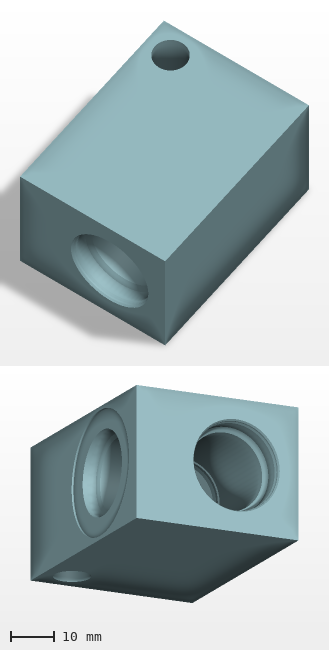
import cadquery as cq

width = 41.15
length = 55.6
height = 31.75
mid_height = height / 2

front_port_x = 25.4
through_diameter = 13.55
front_mouth_diameter = 21.95
front_recess_diameter = 21.35
front_chamfer_depth = 0.5
front_recess_depth = 0.95
front_thread_diameter = 20.9
front_thread_start = 1.6
front_thread_end = 4.9
front_bore_diameter = 18.85
front_bore_start = 6.0
front_bore_end = 28.35
front_step_diameter = 17.95
front_step_depth = 29.2
front_floor_diameter = 17.1
front_floor_depth = 30.0

side_port_y = 19.0
spotface_diameter = 30.0
spotface_depth = 0.5
side_mouth_diameter = 20.55
side_taper_diameter = 19.25
side_taper_depth = 3.5
side_bore_diameter = 17.55
side_seat_depth = 4.15

mount_hole_diameter = 8.8
mount_hole_inset = 7.1


def stepped_bore(stations):
    """Solid of revolution about +Y, from (diameter, depth) stations."""
    outline = [(0, stations[0][1])]
    outline += [(diameter / 2, depth) for diameter, depth in stations]
    outline.append((0, stations[-1][1]))
    return cq.Workplane("XY").polyline(outline).close().revolve(360, (0, 0), (0, 1))


block = cq.Workplane("XY").box(width, length, height, centered=False)

front_port = stepped_bore([
    (front_mouth_diameter, 0),
    (front_recess_diameter, front_chamfer_depth),
    (front_recess_diameter, front_recess_depth),
    (front_thread_diameter, front_thread_start),
    (front_thread_diameter, front_thread_end),
    (front_bore_diameter, front_bore_start),
    (front_bore_diameter, front_bore_end),
    (front_step_diameter, front_bore_end),
    (front_step_diameter, front_step_depth),
    (front_floor_diameter, front_floor_depth),
    (through_diameter, front_floor_depth),
    (through_diameter, length),
]).translate((front_port_x, 0, mid_height))

side_port = stepped_bore([
    (spotface_diameter, 0),
    (spotface_diameter, spotface_depth),
    (side_mouth_diameter, spotface_depth),
    (side_taper_diameter, side_taper_depth),
    (side_bore_diameter, side_seat_depth),
    (side_bore_diameter, front_port_x),
])
side_port = side_port.rotate((0, 0, 0), (0, 0, 1), -90).translate((0, side_port_y, mid_height))

mount_hole = (
    cq.Workplane("XY")
    .center(mount_hole_inset, length - mount_hole_inset)
    .circle(mount_hole_diameter / 2)
    .extrude(height)
)

result = block.cut(front_port).cut(side_port).cut(mount_hole)